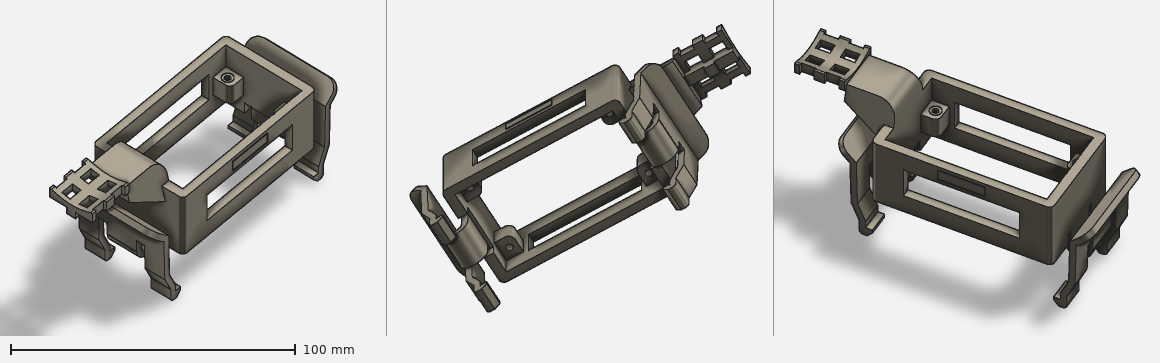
import cadquery as cq
import math


overall_length = 123.3
frame_width = 42.0
frame_length = 72.0
frame_height = 28.1
side_wall = 3.5
end_wall = 3.8
frame_corner_radius = 2.1
cavity_width = frame_width - 2 * side_wall
cavity_length = frame_length - 2 * end_wall
end_face = frame_length / 2

window_length = 46.1
window_bottom = 7.8
window_top = 20.3
label_length = 18.7
label_bottom = 22.2
label_top = 26.6
label_thickness = 0.31

boss_width = 8.3
boss_length = 7.0
boss_bottom = 8.8
boss_top = 17.4
boss_corner_radius = 2.6
screw_x = 13.5
screw_inset = 3.7
screw_diameter = 2.5
counterbore_diameter = 4.5
counterbore_depth = 0.2

sheet = 2.6
clip_width = 39.6
tongue_width = 13.7
leg_gap = 21.2
wall_notch_width = 17.9
slot_top = 4.9
flap_reach = 15.2
flap_angle = math.radians(43)
flap_corner_radius = 4.9
flap_bend_reach = 9.0
flap_bend_z = 12.8
knee_reach = 8.5
knee_z = -6.3
ankle_reach = 5.3
ankle_z = -13.5
hook_top = -16.0
hook_nose_bottom = -17.5
hook_bottom = -19.7
hook_flat_end = 2.1
heel_radius = 1.7
bend_inner_radius = 3.0
bend_z = -0.7

arm_reach = 16.3
arm_top = 38.2
arm_tip_bottom = 31.5
arm_root_bottom = 21.6
arm_back_radius = 7.4
arm_top_width = 16.8
arm_draft = math.radians(15)

grip_reach = overall_length - frame_length - flap_reach
grip_width = 19.8
grip_bottom = 36.4
grip_top = 40.8
dish_width = 18.0
dish_depth = 1.8
grip_waist_width = 16.8
grip_slot_offset = 4.0
rib_width = 4.1
rib_bottom = 33.3
first_bar = 2.2
middle_bar = 4.2
last_bar = 2.0
bar_gap = (grip_reach - arm_reach - first_bar - middle_bar - last_bar) / 2


def block(x_range, y_range, z_range):
    """Box spanning the given (low, high) ranges."""
    size = [high - low for low, high in (x_range, y_range, z_range)]
    corner = (x_range[0], y_range[0], z_range[0])
    return cq.Workplane("XY").box(*size, centered=False).translate(corner)


def centred_block(width, y_range, z_range):
    return block((-width / 2, width / 2), y_range, z_range)


def extrude_across(profile, width):
    """Extrude a YZ profile to the given width, symmetrically about X = 0."""
    return profile.extrude(width / 2, both=True)


def make_frame():
    frame = cq.Workplane("XY").box(frame_width, frame_length, frame_height, centered=(True, True, False))
    frame = frame.edges("|Z").fillet(frame_corner_radius)
    cavity_y = (-cavity_length / 2, cavity_length / 2)
    frame = frame.cut(centred_block(cavity_width, cavity_y, (0, frame_height)))
    label = centred_block(
        frame_width + 2 * label_thickness, (-label_length / 2, label_length / 2), (label_bottom, label_top)
    )
    frame = frame.union(label.cut(centred_block(frame_width, (-end_face, end_face), (0, frame_height))))
    window = centred_block(frame_width, (-window_length / 2, window_length / 2), (window_bottom, window_top))
    notches = centred_block(wall_notch_width, (-end_face, end_face), (0, slot_top))
    return frame.cut(window).cut(notches)


def make_boss():
    """Boss in the +X +Y corner of the cavity, with its counterbored screw hole."""
    x_range = (cavity_width / 2 - boss_width, cavity_width / 2)
    y_range = (cavity_length / 2 - boss_length, cavity_length / 2)
    boss = block(x_range, y_range, (boss_bottom, boss_top))
    boss = boss.edges("|Z and <X and <Y").fillet(boss_corner_radius)
    return (
        boss.faces(">Z")
        .workplane(origin=(screw_x, cavity_length / 2 - screw_inset, boss_top))
        .cboreHole(screw_diameter, counterbore_diameter, counterbore_depth)
    )


def make_clip():
    """Clip on the +Y end: a bent plate with two hooked legs, hung from the frame by a U-shaped tongue."""
    flap_end_z = flap_bend_z + (flap_reach - flap_bend_reach) * math.tan(flap_angle)
    flap_inner_reach = flap_reach - sheet * math.sin(flap_angle)
    flap_inner_z = flap_end_z + sheet * math.cos(flap_angle)
    inner_bend_reach = flap_bend_reach - sheet
    inner_bend_z = flap_inner_z - (flap_inner_reach - inner_bend_reach) * math.tan(flap_angle)
    leg_angle = math.atan2(knee_reach - ankle_reach, knee_z - ankle_z)
    miter_shift = sheet * math.tan(leg_angle / 2)
    outline = [
        (flap_reach, flap_end_z),
        (flap_inner_reach, flap_inner_z),
        (inner_bend_reach, inner_bend_z),
        (knee_reach - sheet, knee_z + miter_shift),
        (ankle_reach - sheet, ankle_z + miter_shift),
        (ankle_reach - sheet, hook_top),
        (0, hook_top),
        (0, hook_nose_bottom),
        (hook_flat_end, hook_bottom),
        (ankle_reach - heel_radius, hook_bottom),
    ]
    heel_inset = heel_radius * (1 - math.sqrt(0.5))
    heel_middle = (ankle_reach - heel_inset, hook_bottom + heel_inset)
    profile = (
        cq.Workplane("YZ")
        .polyline(outline)
        .threePointArc(heel_middle, (ankle_reach, hook_bottom + heel_radius))
        .lineTo(ankle_reach, ankle_z)
        .lineTo(knee_reach, knee_z)
        .lineTo(flap_bend_reach, flap_bend_z)
        .close()
    )
    plate = extrude_across(profile, clip_width)
    sheet_normal = cq.Vector(0, -math.sin(flap_angle), math.cos(flap_angle))
    plate = plate.edges(cq.selectors.ParallelDirSelector(sheet_normal)).fillet(flap_corner_radius)

    clip_y = (-sheet, flap_reach)
    tongue_plate = plate.intersect(centred_block(tongue_width, clip_y, (bend_z, slot_top)))
    legs = plate.cut(centred_block(leg_gap, clip_y, (hook_bottom, slot_top)))

    bend_outer_radius = bend_inner_radius + sheet
    ring = cq.Workplane("YZ").center(bend_inner_radius, bend_z)
    ring = ring.circle(bend_outer_radius).circle(bend_inner_radius)
    bend = extrude_across(ring, tongue_width)
    bend_y = (-sheet, bend_inner_radius + bend_outer_radius)
    bend = bend.intersect(centred_block(tongue_width, bend_y, (bend_z - bend_outer_radius, bend_z)))
    root = centred_block(tongue_width, (-sheet, 0), (bend_z, slot_top))
    return legs.union(tongue_plate).union(bend).union(root).translate((0, end_face, 0))


def make_arm():
    """Arm with drafted sides and a rounded back edge, flush with the inside of the -Y end wall."""
    back_y = -end_face + end_wall
    tip_y = -end_face - arm_reach
    side = (
        cq.Workplane("YZ")
        .moveTo(back_y, arm_root_bottom)
        .lineTo(back_y, arm_top - arm_back_radius)
        .radiusArc((back_y - arm_back_radius, arm_top), -arm_back_radius)
        .lineTo(tip_y, arm_top)
        .lineTo(tip_y, arm_tip_bottom)
        .lineTo(-end_face, arm_root_bottom)
        .close()
    )
    top_half = arm_top_width / 2
    root_half = top_half + (arm_top - arm_root_bottom) * math.tan(arm_draft)
    root_corners = [(-root_half, arm_root_bottom), (root_half, arm_root_bottom)]
    top_corners = [(top_half, arm_top), (-top_half, arm_top)]
    drafted = (
        cq.Workplane("XZ", origin=(0, back_y, 0))
        .polyline(root_corners + top_corners)
        .close()
        .extrude(end_wall + arm_reach)
    )
    return extrude_across(side, 2 * root_half).intersect(drafted)


def make_grip():
    """Dished plate with four openings and notched sides, stiffened by a rib along its underside."""
    start_y = -end_face - arm_reach
    end_y = -end_face - grip_reach
    plate = (
        cq.Workplane("XZ", origin=(0, start_y, 0))
        .moveTo(-grip_width / 2, grip_bottom)
        .lineTo(-grip_width / 2, grip_top)
        .lineTo(-dish_width / 2, grip_top)
        .threePointArc((0, grip_top - dish_depth), (dish_width / 2, grip_top))
        .lineTo(grip_width / 2, grip_top)
        .lineTo(grip_width / 2, grip_bottom)
        .close()
        .extrude(start_y - end_y)
    )
    first_gap_y = start_y - first_bar
    second_gap_y = first_gap_y - bar_gap - middle_bar
    plate_z = (grip_bottom, grip_top)
    slot_width = 2 * (grip_slot_offset - rib_width / 2)
    for gap_y in (first_gap_y, second_gap_y):
        gap_range = (gap_y - bar_gap, gap_y)
        for side in (-1, 1):
            slot = centred_block(slot_width, gap_range, plate_z).translate((side * grip_slot_offset, 0, 0))
            edges = sorted((side * grip_waist_width / 2, side * grip_width / 2))
            plate = plate.cut(slot).cut(block(edges, gap_range, plate_z))
    rib = centred_block(rib_width, (end_y, start_y), (rib_bottom, grip_bottom))
    foot = centred_block(rib_width, (second_gap_y, second_gap_y + middle_bar), (arm_tip_bottom, rib_bottom))
    return plate.union(rib).union(foot)


result = make_frame()

boss = make_boss()
for corner in (boss, boss.mirror("YZ")):
    result = result.union(corner).union(corner.mirror("XZ"))

clip = make_clip()
result = result.union(clip).union(clip.mirror("XZ"))

result = result.union(make_arm()).union(make_grip())